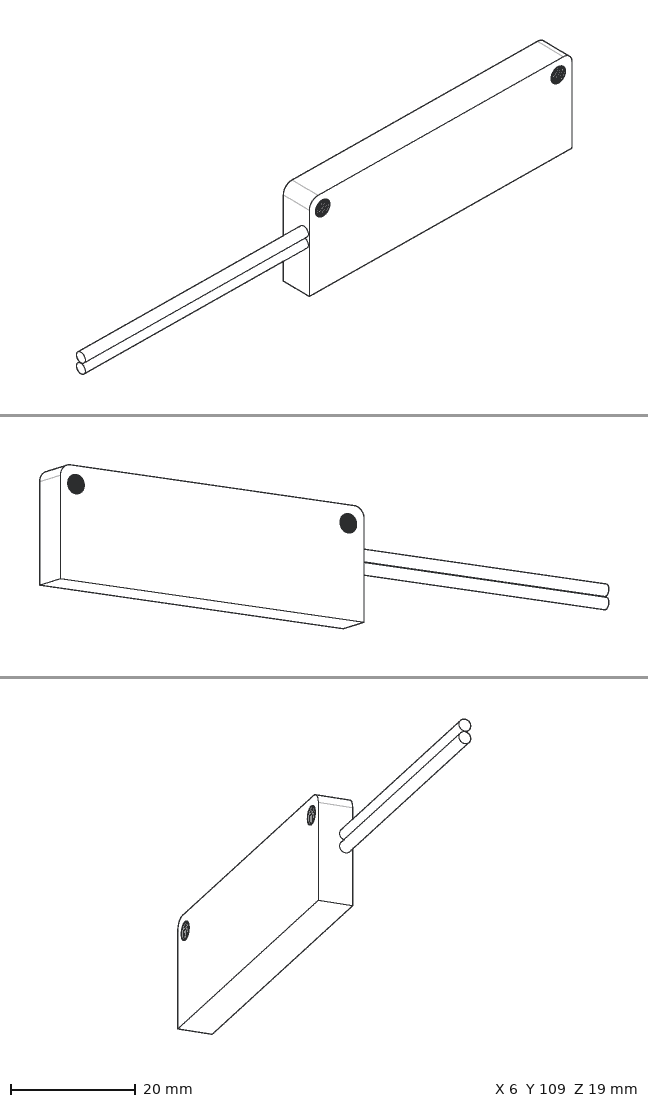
import cadquery as cq

total_length = 109.0
body_width = 6.0
body_length = 59.0
body_height = 19.0
corner_radius = 2.0

hole_diameter = 3.2
hole_inset = 3.0

ridge_diameter = 0.26
ridge_count = 12
ridge_pitch = body_width / ridge_count

wire_diameter = 2.1
wire_pitch = 2.2
wire_x = 1.7
wire_pair_z = 11.1
wire_length = total_length - body_length
wire_embed = 1.1


def make_body():
    """Block with rounded upper corners; its -Y face lies at Y = 0."""
    block = cq.Workplane("XY").box(
        body_width, body_length, body_height, centered=(True, False, False)
    )
    return block.edges("|X and >Z").fillet(corner_radius)


def make_ridge(index):
    """Ring of round section centred on the wall of a hole along X."""
    x = (index + 0.5) * ridge_pitch - body_width / 2
    return cq.Solid.makeTorus(
        hole_diameter / 2, ridge_diameter / 2, cq.Vector(x, 0, 0), cq.Vector(1, 0, 0)
    )


def make_hole():
    """Cutter for a ridged hole along X, centred on the origin."""
    cutter = (
        cq.Workplane("YZ", origin=(-body_width / 2, 0, 0))
        .circle(hole_diameter / 2)
        .extrude(body_width)
    )
    for index in range(ridge_count):
        cutter = cutter.cut(cq.Workplane(make_ridge(index)))
    return cutter


def make_wire(z):
    """Straight wire, rooted slightly inside the body."""
    return (
        cq.Workplane("XZ", origin=(wire_x, wire_embed, z))
        .circle(wire_diameter / 2)
        .extrude(wire_length + wire_embed)
    )


result = make_body()
hole = make_hole()
for hole_y in (hole_inset, body_length - hole_inset):
    result = result.cut(hole.translate((0, hole_y, body_height - hole_inset)))
for side in (-1, 1):
    result = result.union(make_wire(wire_pair_z + side * wire_pitch / 2))